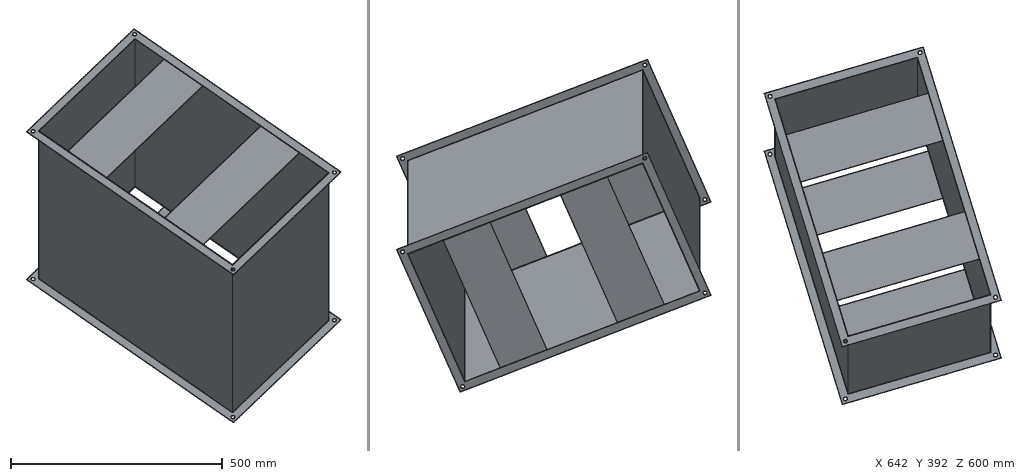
import cadquery as cq

LENGTH = 642.0
WIDTH = 392.0
HEIGHT = 600.0

SHEET = 1.0

FLANGE_RIM = 20.0
DUCT_LENGTH = LENGTH - 2 * FLANGE_RIM
DUCT_WIDTH = WIDTH - 2 * FLANGE_RIM
INNER_LENGTH = DUCT_LENGTH - 2 * SHEET
INNER_WIDTH = DUCT_WIDTH - 2 * SHEET

HOLE_DIAMETER = 9.0
HOLE_EDGE_DISTANCE = 11.0

PLATES_PER_END = 2
PLATE_WIDTH = 120.0
PLATE_PITCH = INNER_LENGTH / PLATES_PER_END

END_LEVELS = (0, HEIGHT - SHEET)


def make_flange(base_z):
    """Flat rim around the duct opening, with a bolt hole in each corner."""
    hole_span_x = LENGTH - 2 * HOLE_EDGE_DISTANCE
    hole_span_y = WIDTH - 2 * HOLE_EDGE_DISTANCE
    frame = (
        cq.Workplane("XY", origin=(0, 0, base_z))
        .rect(LENGTH, WIDTH)
        .rect(INNER_LENGTH, INNER_WIDTH)
        .extrude(SHEET)
    )
    holes = (
        cq.Workplane("XY", origin=(0, 0, base_z))
        .rect(hole_span_x, hole_span_y, forConstruction=True)
        .vertices()
        .circle(HOLE_DIAMETER / 2)
        .extrude(SHEET)
    )
    return frame.cut(holes)


def make_housing():
    """Open rectangular duct with an outward flange at each end."""
    housing = (
        cq.Workplane("XY")
        .rect(DUCT_LENGTH, DUCT_WIDTH)
        .rect(INNER_LENGTH, INNER_WIDTH)
        .extrude(HEIGHT)
    )
    for base_z in END_LEVELS:
        housing = housing.union(make_flange(base_z))
    return housing


def make_cover_plate(center_x, base_z):
    """Thin plate spanning the duct mouth from wall to wall in Y."""
    return cq.Workplane("XY", origin=(center_x, 0, base_z)).box(
        PLATE_WIDTH, INNER_WIDTH, SHEET, centered=(True, True, False)
    )


housing = make_housing()

cover_plates = []
for base_z in END_LEVELS:
    for index in range(PLATES_PER_END):
        center_x = (index - (PLATES_PER_END - 1) / 2) * PLATE_PITCH
        cover_plates.append(make_cover_plate(center_x, base_z))

result = cq.Compound.makeCompound([
    housing.val(),
    *[plate.val() for plate in cover_plates],
])